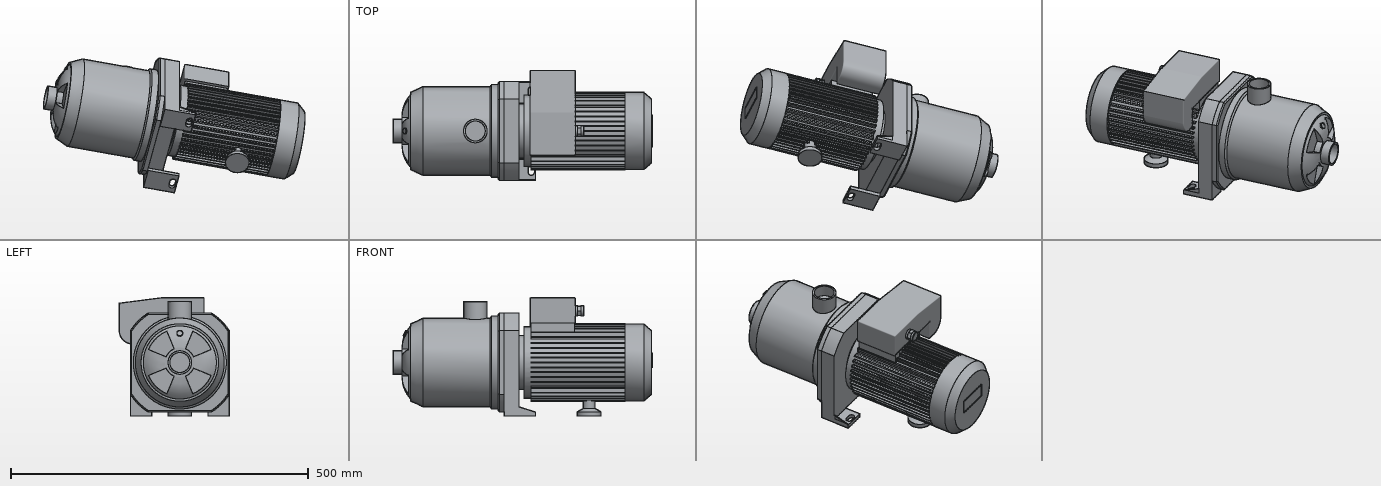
import cadquery as cq
import math


cap_front_x = 15.0
casing_front_x = 29.5
casing_cone_end_x = 50.0
casing_step_x = 163.0
casing_ring_x = 165.5
plate_front_x = 176.5
bracket_front_x = 186.5
bracket_back_x = 211.5
foot_back_x = 239.5
adapter_x = 219.5
fins_front_x = 231.0
fan_cover_x = 389.5
fan_cone_x = 421.0
fan_end_x = 434.0
overall_length = 435.5

floor_z = -90.0
box_top_z = 109.0

casing_radius = 149.5 / 2
casing_front_radius = 130.0 / 2
casing_ring_radius = 156.5 / 2
pipe_radius = 39.5 / 2
pipe_bore_radius = 33.5 / 2
inlet_bore_depth = 15.0
outlet_bore_depth = 20.5
outlet_x = 138.0
outlet_top_z = 102.5

cap_radius = 61.5
cap_hub_radius = 25.0
cap_pocket_depth = 11.0
cap_pocket_angle = 45.0
cap_pocket_count = 4

plug_radius = 10.0 / 2
plug_center_z = 48.8
plug_height = 1.7
plug_seat_depth = 2.0

plate_half_width = 83.0
plate_corner_radius = 99.0
plate_chamfer = 2.0
foot_inner_y = 47.0
foot_rib_thickness = 1.7
foot_tip_height = 7.0
foot_root_height = 15.5
slot_width = 10.0
slot_length = 18.5
slot_x = 232.0

motor_radius = 130.0 / 2
core_radius = 120.0 / 2
neck_radius = 91.0 / 2
fins_per_side = 11
fin_field = 81.5
fin_pitch = fin_field / (fins_per_side - 1)
fin_thickness = 1.7

fan_end_radius = 53.5
end_badge_width = 54.5
end_badge_height = 24.5
end_badge_z = 3.5

box_front_x = 230.0
box_back_x = 306.0
box_near_y = -41.0
box_far_y = 102.0
box_bottom_z = 66.0
box_crease_y = 30.5
box_far_top_z = 99.5
box_skirt_bottom_z = 31.0
box_skirt_y = 66.0
box_skirt_radius = 22.5
box_fillet = 1.95
box_base_end_inset = 1.7
box_base_side_inset = 4.5

gland_z = 86.5
gland_radius = 17.5 / 2
gland_collar_length = 3.5
gland_hex_width = 16.0
gland_hex_length = 6.0
gland_cap_length = 5.0
gland_chamfer = 1.0

post_x = 329.0
post_radius = 20.0 / 2
post_disc_radius = 40.0 / 2
post_disc_height = 7.5
post_cone_height = 5.5


def x_cylinder(radius, start_x, end_x):
    return cq.Workplane("YZ", origin=(start_x, 0, 0)).circle(radius).extrude(end_x - start_x)


def block(x_range, y_range, z_range):
    """Box between the given pairs of limits."""
    corner = (x_range[0], y_range[0], z_range[0])
    size = (x_range[1] - x_range[0], y_range[1] - y_range[0], z_range[1] - z_range[0])
    return cq.Workplane("XY").box(*size, centered=False).translate(corner)


def revolve_about_shaft(profile):
    """Revolves an XY profile of (x, radius) about the X axis."""
    return profile.close().revolve(360, (0, 0, 0), (1, 0, 0))


def make_casing():
    profile = cq.Workplane("XY").polyline([
        (casing_front_x, 0),
        (casing_front_x, casing_front_radius),
        (casing_cone_end_x, casing_radius),
        (casing_step_x, casing_radius),
        (casing_ring_x, casing_ring_radius),
        (plate_front_x, casing_ring_radius),
        (plate_front_x, 0),
    ])
    outlet = cq.Workplane("XY", origin=(outlet_x, 0, 0)).circle(pipe_radius).extrude(outlet_top_z)
    bore = (
        cq.Workplane("XY", origin=(outlet_x, 0, outlet_top_z))
        .circle(pipe_bore_radius)
        .extrude(-outlet_bore_depth)
    )
    return revolve_about_shaft(profile).union(outlet).cut(bore)


dome_rise = cap_radius - cap_hub_radius
dome_depth = casing_front_x - cap_front_x
dome_radius = (dome_rise**2 + dome_depth**2) / (2 * dome_depth)
dome_center_x = cap_front_x + dome_radius


def dome_point(slope):
    """Point (x, radius) of the dome arc whose normal is tilted by the slope from the axis."""
    return (
        dome_center_x - dome_radius * math.cos(slope),
        cap_hub_radius + dome_radius * math.sin(slope),
    )


def make_cap_pockets():
    """Flat-bottomed sector pockets around the hub."""
    reach = 2 * cap_radius
    half_angle = math.radians(cap_pocket_angle / 2)
    corner = (reach * math.cos(half_angle), reach * math.sin(half_angle))
    sector = (
        cq.Workplane("YZ", origin=(cap_front_x, 0, 0))
        .polyline([(0, 0), corner, (corner[0], -corner[1])])
        .close()
        .extrude(cap_pocket_depth)
        .cut(x_cylinder(cap_hub_radius, cap_front_x, casing_front_x))
    )
    spacing = 360 / cap_pocket_count
    return [
        sector.rotate((0, 0, 0), (1, 0, 0), (i + 0.5) * spacing)
        for i in range(cap_pocket_count)
    ]


def make_end_cap():
    rim_slope = math.asin(dome_rise / dome_radius)
    profile = (
        cq.Workplane("XY")
        .moveTo(casing_front_x, 0)
        .lineTo(cap_front_x, 0)
        .lineTo(cap_front_x, cap_hub_radius)
        .threePointArc(dome_point(rim_slope / 2), dome_point(rim_slope))
    )
    cap = revolve_about_shaft(profile)
    for pocket in make_cap_pockets():
        cap = cap.cut(pocket)
    cap = cap.union(x_cylinder(pipe_radius, 0, casing_front_x))
    return cap.cut(x_cylinder(pipe_bore_radius, 0, inlet_bore_depth))


def make_vent_plug():
    """Short plug standing square on the dome above the inlet."""
    slope = math.asin((plug_center_z - cap_hub_radius) / dome_radius)
    seat_x, seat_z = dome_point(slope)
    outward = cq.Vector(-math.cos(slope), 0, math.sin(slope))
    start = cq.Vector(seat_x, 0, seat_z) - outward * plug_seat_depth
    return cq.Workplane(cq.Solid.makeCylinder(plug_radius, plug_seat_depth + plug_height, start, outward))


def make_plate(front_x, back_x):
    """Square plate whose corners are rounded off by a circle about the shaft."""
    side = 2 * plate_half_width
    plate = cq.Workplane("YZ", origin=(front_x, 0, 0)).rect(side, side).extrude(back_x - front_x)
    return plate.intersect(x_cylinder(plate_corner_radius, front_x, back_x))


def make_front_plate():
    return make_plate(plate_front_x, bracket_front_x).faces("<X").chamfer(plate_chamfer)


def make_foot(side):
    """Foot of the bracket on the side with the given sign of Y, with a flat slotted toe and a tapered outer rib."""
    solid_foot = (
        cq.Workplane("XZ", origin=(0, plate_half_width, 0))
        .polyline([
            (bracket_front_x, floor_z),
            (foot_back_x, floor_z),
            (foot_back_x, floor_z + foot_tip_height),
            (bracket_back_x, floor_z + foot_root_height),
            (bracket_back_x, 0),
            (bracket_front_x, 0),
        ])
        .close()
        .extrude(plate_half_width - foot_inner_y)
    )
    above_toe = block(
        (bracket_back_x, foot_back_x),
        (foot_inner_y, plate_half_width - foot_rib_thickness),
        (floor_z + foot_tip_height, 0),
    )
    slot = (
        cq.Workplane("XY", origin=(slot_x, (foot_inner_y + plate_half_width) / 2, floor_z))
        .slot2D(slot_length, slot_width, 90)
        .extrude(foot_root_height)
    )
    foot = solid_foot.cut(above_toe).cut(slot)
    return foot if side > 0 else foot.mirror("XZ")


def make_bracket():
    bracket = make_plate(bracket_front_x, bracket_back_x)
    for side in (-1, 1):
        bracket = bracket.union(make_foot(side))
    return bracket


def make_fins():
    """Parallel fins in two crossed sets, trimmed to the motor diameter."""
    length = fan_cover_x - fins_front_x
    fins = (
        cq.Workplane("YZ", origin=(fins_front_x, 0, 0))
        .rarray(4.5, fin_pitch, 1, fins_per_side)
        .rect(2 * motor_radius, fin_thickness)
        .extrude(length)
    )
    crossed_fins = fins.rotate((0, 0, 0), (1, 0, 0), 90)
    return fins.union(crossed_fins).intersect(x_cylinder(motor_radius, fins_front_x, fan_cover_x))


def make_motor(*mounted_bodies):
    """Motor with a neck at the bracket; its fins make way for the bodies mounted on the core."""
    motor = x_cylinder(core_radius, adapter_x, fan_cover_x)
    motor = motor.union(x_cylinder(neck_radius, bracket_back_x, adapter_x)).union(make_fins())
    for body in mounted_bodies:
        motor = motor.cut(body)
    return motor


def make_fan_cover():
    profile = cq.Workplane("XY").polyline([
        (fan_cover_x, 0),
        (fan_cover_x, motor_radius),
        (fan_cone_x, motor_radius),
        (fan_end_x, fan_end_radius),
        (fan_end_x, 0),
    ])
    badge = (
        cq.Workplane("YZ", origin=(fan_end_x, 0, end_badge_z))
        .rect(end_badge_width, end_badge_height)
        .extrude(overall_length - fan_end_x)
    )
    return revolve_about_shaft(profile).union(badge)


def make_terminal_box():
    """Box with a sloped lid, a skirt beside the motor and a base that sits on the motor core."""
    skirt_arc_y = box_far_y - box_skirt_radius
    skirt_arc_z = box_skirt_bottom_z + box_skirt_radius
    arc_offset = box_skirt_radius * math.sqrt(0.5)
    box = (
        cq.Workplane("YZ", origin=(box_front_x, 0, 0))
        .moveTo(box_near_y, box_bottom_z)
        .lineTo(box_near_y, box_top_z)
        .lineTo(box_crease_y, box_top_z)
        .lineTo(box_far_y, box_far_top_z)
        .lineTo(box_far_y, skirt_arc_z)
        .threePointArc(
            (skirt_arc_y + arc_offset, skirt_arc_z - arc_offset),
            (skirt_arc_y, box_skirt_bottom_z),
        )
        .lineTo(box_skirt_y, box_skirt_bottom_z)
        .lineTo(box_skirt_y, box_bottom_z)
        .close()
        .extrude(box_back_x - box_front_x)
        .edges("#X or (|X and >Z and <Y) or (|X and >Y and >Z)")
        .fillet(box_fillet)
    )
    base_half_width = -box_near_y - box_base_side_inset
    base = block(
        (fins_front_x, box_back_x - box_base_end_inset),
        (-base_half_width, base_half_width),
        (0, box_bottom_z),
    )
    return box.union(base.cut(x_cylinder(core_radius, fins_front_x, fan_cover_x)))


def make_cable_gland():
    """Collar, hexagon and cap nut in line; the hexagon has flats on top and below."""
    hex_x = box_back_x + gland_collar_length
    cap_x = hex_x + gland_hex_length
    collar = x_cylinder(gland_radius, box_back_x, hex_x)
    hexagon = (
        cq.Workplane("YZ", origin=(hex_x, 0, 0))
        .polygon(6, gland_hex_width, circumscribed=True)
        .extrude(gland_hex_length)
        .rotate((0, 0, 0), (1, 0, 0), 30)
    )
    cap = x_cylinder(gland_radius, cap_x, cap_x + gland_cap_length).faces(">X").chamfer(gland_chamfer)
    return collar.union(hexagon).union(cap).translate((0, 0, gland_z))


def make_post():
    """Support post under the motor with a flared foot disc."""
    disc_top_z = floor_z + post_disc_height
    cone_top_z = disc_top_z + post_cone_height
    post = (
        cq.Workplane("XZ")
        .polyline([
            (0, floor_z),
            (post_disc_radius, floor_z),
            (post_disc_radius, disc_top_z),
            (post_radius, cone_top_z),
            (post_radius, 0),
            (0, 0),
        ])
        .close()
        .revolve(360, (0, 0, 0), (0, 1, 0))
        .translate((post_x, 0, 0))
    )
    return post.cut(x_cylinder(core_radius, fins_front_x, fan_cover_x))


casing = make_casing()
vent_plug = make_vent_plug()
end_cap = make_end_cap().cut(vent_plug)
front_plate = make_front_plate()
bracket = make_bracket()
terminal_box = make_terminal_box()
cable_gland = make_cable_gland()
post = make_post()
motor = make_motor(terminal_box, post)
fan_cover = make_fan_cover()

result = cq.Compound.makeCompound([
    casing.val(),
    end_cap.val(),
    vent_plug.val(),
    front_plate.val(),
    bracket.val(),
    motor.val(),
    fan_cover.val(),
    terminal_box.val(),
    cable_gland.val(),
    post.val(),
])